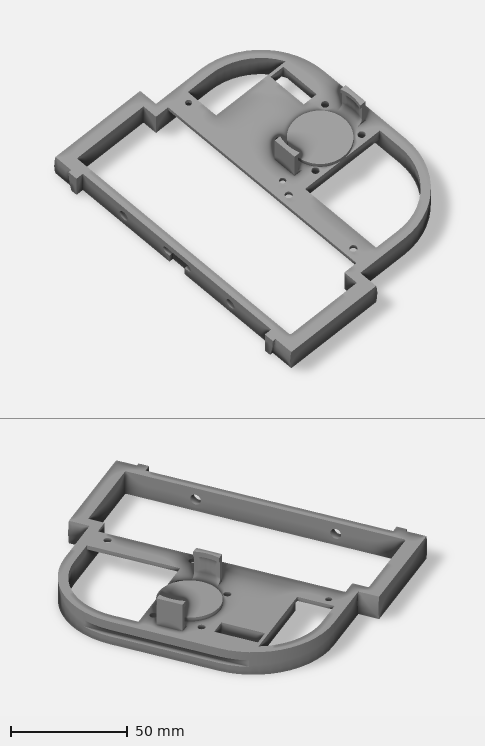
import cadquery as cq
import math

frame_height = 11.6
frame_depth = 116.0
wall = 5.0
body_half_width = 62.8
inner_half_width = body_half_width - wall
corner_radius = 37.5
inner_corner_radius = 31.3

wing_half_width = 72.5
wing_front = 0.9
wing_back = 52.9
wing_bulge = 0.7

opening_half_width = 65.5
opening_front = 7.7
opening_shoulder = 47.4
opening_corner_radius = 0.7

bar_front = 3.8
foot_taper = 1.7
foot_taper_middle = foot_taper / 4
pocket_depth = 2.0
bar_hole_x = 32.8
bar_hole_diameter = 5.0
tee_width = 17.0
tee_top = 8.3
tee_bottom = 4.4
tee_stem_width = 9.3

crossbar_front = 54.7
crossbar_back = 66.4
crossbar_thickness = 2.0
plate_left = -40.5
plate_right = 14.2
plate_thickness = 6.0
plate_notch_right = -33.6
plate_notch_depth = 2.0
slot_left = -39.0
slot_right = -18.5
slot_front = 97.5
slot_back = 105.1

seat_y = 89.2
seat_diameter = 28.5
seat_height = 2.0
clip_half_width = 6.1
clip_outer = 21.2
clip_wall_radius = 20.0
clip_hook_radius = 19.0
clip_fillet = 3.0
clip_top = 25.4
clip_hook_thickness = 2.5

large_hole_diameter = 3.5
small_hole_diameter = 3.0
large_holes = [(x, y) for x in (-12.2, 10.3) for y in (76.4, 104.0)] + [(11.6, 59.2), (51.3, 59.2)]
small_holes = [(-53.5, 62.6), (4.4, 62.6)]

groove_bottom = 4.0
groove_top = 7.4
groove_depth = 2.5


def block(x0, x1, y0, y1, z0, z1):
    """Box given by its limits along each axis."""
    return cq.Workplane("XY").box(x1 - x0, y1 - y0, z1 - z0, centered=False).translate((x0, y0, z0))


def arched_body(half_width, front, radius, back):
    """Full-height body with a straight front and two rounded back corners."""
    body = block(-half_width, half_width, front, back, 0, frame_height)
    return body.edges("|Z and >Y").fillet(radius)


def wings():
    """Wide bar with bulging front and back faces."""
    half_height = frame_height / 2
    profile = (
        cq.Workplane("YZ", origin=(-wing_half_width, 0, 0))
        .moveTo(wing_front + wing_bulge, 0)
        .lineTo(wing_back - wing_bulge, 0)
        .threePointArc((wing_back, half_height), (wing_back - wing_bulge, frame_height))
        .lineTo(wing_front + wing_bulge, frame_height)
        .threePointArc((wing_front, half_height), (wing_front + wing_bulge, 0))
        .close()
    )
    return profile.extrude(2 * wing_half_width)


def right_foot():
    """Foot beside the front bar, narrower at the bottom."""
    return (
        cq.Workplane("XZ")
        .moveTo(inner_half_width, 0)
        .lineTo(body_half_width - foot_taper, 0)
        .threePointArc(
            (body_half_width - foot_taper_middle, frame_height / 2),
            (body_half_width, frame_height),
        )
        .lineTo(inner_half_width, frame_height)
        .close()
        .extrude(-bar_front)
    )


def large_opening():
    """Opening with a wide front part and a narrower part that reaches the back wall."""
    wide = block(-opening_half_width, opening_half_width, opening_front, opening_shoulder, 0, frame_height)
    wide = wide.edges("|Z and <Y").fillet(opening_corner_radius)
    inner_back = frame_depth - wall
    return wide.union(arched_body(inner_half_width, opening_front, inner_corner_radius, inner_back))


def mounting_plate():
    """Crossbar and thick plate, trimmed to the rounded inside of the frame."""
    crossbar = block(
        -body_half_width, body_half_width, crossbar_front, crossbar_back,
        frame_height - crossbar_thickness, frame_height,
    )
    plate_bottom = frame_height - plate_thickness
    plate = block(plate_left, plate_right, crossbar_back, frame_depth, plate_bottom, frame_height)
    notch = block(
        plate_left, plate_notch_right, crossbar_back, crossbar_back + plate_notch_depth,
        plate_bottom, frame_height - crossbar_thickness,
    )
    slot = block(slot_left, slot_right, slot_front, slot_back, 0, frame_height)
    outline = arched_body(body_half_width, bar_front, corner_radius, frame_depth)
    return crossbar.union(plate.cut(notch)).cut(slot).intersect(outline)


def clips():
    """Two hooked clips facing the seat, turned about the seat axis and cut to width."""
    fillet_offset = clip_fillet * (1 - math.sqrt(0.5))
    hook_bottom = clip_top - clip_hook_thickness
    ring_outer = 2 * clip_outer
    ring = (
        cq.Workplane("XZ")
        .moveTo(clip_wall_radius - clip_fillet, frame_height)
        .threePointArc(
            (clip_wall_radius - fillet_offset, frame_height + fillet_offset),
            (clip_wall_radius, frame_height + clip_fillet),
        )
        .lineTo(clip_wall_radius, hook_bottom)
        .lineTo(clip_hook_radius, hook_bottom)
        .lineTo(clip_hook_radius, clip_top)
        .lineTo(ring_outer, clip_top)
        .lineTo(ring_outer, frame_height)
        .close()
        .revolve(360, (0, 0, 0), (0, 1, 0))
    )
    limits = block(-clip_half_width, clip_half_width, -clip_outer, clip_outer, frame_height, clip_top)
    return ring.intersect(limits).translate((0, seat_y, 0))


def bar_hole(x):
    """Round hole through the front bar."""
    plane = cq.Workplane("XZ", origin=(x, bar_front, frame_height / 2))
    return plane.circle(bar_hole_diameter / 2).extrude(bar_front - opening_front)


def tee_pocket():
    """T-shaped pocket in the front bar, open at the bottom."""
    tee_height = tee_top - tee_bottom
    head = (
        cq.Workplane("XZ", origin=(0, bar_front, (tee_top + tee_bottom) / 2))
        .slot2D(tee_width, tee_height)
        .extrude(-pocket_depth)
    )
    stem_half = tee_stem_width / 2
    return head.union(
        block(-stem_half, stem_half, bar_front, bar_front + pocket_depth, 0, tee_bottom + tee_height / 2)
    )


def vertical_holes(points, diameter):
    """Round holes through the full height at the given points."""
    return cq.Workplane("XY").pushPoints(points).circle(diameter / 2).extrude(frame_height)


frame = arched_body(body_half_width, bar_front, corner_radius, frame_depth).union(wings())
frame = frame.cut(block(-inner_half_width, inner_half_width, 0, bar_front, 0, frame_height))
frame = frame.cut(large_opening())
frame = frame.union(right_foot()).union(right_foot().mirror("YZ"))

seat = cq.Workplane("XY", origin=(0, seat_y, frame_height)).circle(seat_diameter / 2).extrude(seat_height)
result = frame.union(mounting_plate())
result = result.cut(vertical_holes(large_holes, large_hole_diameter))
result = result.cut(vertical_holes(small_holes, small_hole_diameter))
result = result.union(seat).union(clips())

for hole_x in (-bar_hole_x, bar_hole_x):
    result = result.cut(bar_hole(hole_x))
result = result.cut(tee_pocket())

result = result.cut(
    block(
        -body_half_width, body_half_width, frame_depth - groove_depth, frame_depth,
        groove_bottom, groove_top,
    )
)